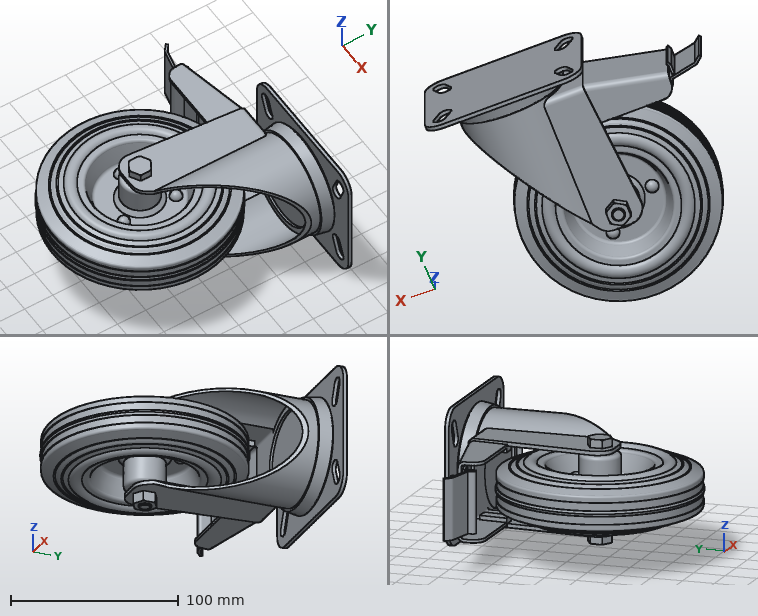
import cadquery as cq
import math


trim_margin = 1.7
swivel_x = 37.5

plate_length = 99.9
plate_width = 85.0
plate_top = 93.5
plate_thickness = 2.5
plate_corner = 11.7
slot_diameter = 8.0
slot_outer = (40.5, 30.7)
slot_inner = (37.0, 22.0)

cup_neck_radius = 35.0
cup_neck_height = 0.7
cup_top_radius = 36.0
cup_bottom_radius = 34.5
cup_bottom = 82.1

fork_radius = 33.0
fork_inner_radius = 31.0
fork_half_width = 26.3
leg_thickness = 2.5
crown_thickness = 4.0
fork_top = 80.3
fork_edge_radius = 4.0
fork_recess_diameter = 54.0
fork_recess_depth = 1.7
leg_bottom = -10.2
leg_front_top_x = -8.2
leg_front_bottom_x = -15.4
leg_back_bottom_x = 11.9
fork_back_x = swivel_x + fork_radius
fork_back_y = 75.7
leg_corner = 10.2

cover_half_width = 24.8
cover_thickness = 2.0
cover_front_x = -58.5
cover_front_top = 69.4
cover_bottom = 54.8
cover_corner_x = -57.3
cover_corner = 7.5
cover_edge_radius = 4.0
tab_inner_z = 20.1
tab_overlap = 1.7
tab_depth = 6.7
tab_top = 72.0

pedal_half_width = 19.1
pedal_thickness = 1.7
pedal_line = [
    (-80.1, 70.2), (-75.7, 66.5), (-58.8, 63.0), (-57.8, 58.6),
    (-53.8, 58.6), (-53.8, 66.2), (-43.5, 68.4),
]
pedal_bends = [(1, 3.4), (3, 1.8), (4, 1.8)]
hook_half_width = 16.1
hook_thickness = 1.7
hook_line = [(-59.5, 64.3), (-59.5, 70.4), (-58.5, 72.4)]

bolt_diameter = 8.0
hex_flats = 13.2
head_height = 5.2
nut_height = 6.5
bolt_tip = 1.0
tip_chamfer = 0.7
hex_chamfer = 0.5

ridge_radius = 62.5
ridge_half_width = 1.7
tread_radius = 62.0
band_radius = 61.5
band_half_width = 6.7
shoulder_z = 9.4
shoulder_mid = (61.7, 10.4)
sidewall_outer = (60.7, 10.9)
sidewall_steps = [(54.5, 13.4), (53.5, 13.2), (52.5, 13.7), (51.5, 14.4), (50.0, 15.0), (49.0, 14.9)]
bead_outer = (45.5, 16.0)
bead_crest = (41.5, 18.3)
bead_inner = (37.5, 16.0)
lip_radius = 34.5
lip_mid = (33.2, 15.4)
rim_wall_top = (32.5, 14.0)
rim_wall_bottom = (28.8, 4.0)
rim_root_mid = (28.3, 2.8)
disc_radius = 27.0
hub_diameter = 25.5
hub_half_length = 22.1
hub_round = 2.3
hub_foot_radius = 15.7
hub_foot_height = 3.0
spacer_diameter = 15.0
disc_half_thickness = 2.0
rivet_diameter = 8.0
rivet_circle_radius = 21.5
rivet_angles = (60, 180, 300)

leg_inner_z = fork_half_width - leg_thickness


def along_z(outline, half_width):
    """Extrude an XY outline symmetrically about the middle plane."""
    return outline.extrude(half_width, both=True)


def swivel_disc(radius, bottom, top):
    """Cylinder on the swivel axis between two heights."""
    return cq.Workplane("XZ", origin=(swivel_x, bottom, 0)).circle(radius).extrude(bottom - top)


def leg_front_x(y):
    """X of the slanting front edge of the fork legs at height y."""
    share = (y - leg_bottom) / (fork_top - leg_bottom)
    return leg_front_bottom_x + share * (leg_front_top_x - leg_front_bottom_x)


def make_plate():
    plate_bottom = plate_top - plate_thickness
    plate = (
        cq.Workplane("XY")
        .box(plate_length, plate_thickness, plate_width)
        .edges("|Y").fillet(plate_corner)
        .translate((swivel_x, plate_top - plate_thickness / 2, 0))
    )
    slot_dx = slot_outer[0] - slot_inner[0]
    slot_dz = slot_outer[1] - slot_inner[1]
    slot_length = math.hypot(slot_dx, slot_dz) + slot_diameter
    slot_angle = math.degrees(math.atan2(slot_dz, slot_dx))
    mid_x = (slot_outer[0] + slot_inner[0]) / 2
    mid_z = (slot_outer[1] + slot_inner[1]) / 2
    for side_x in (-1, 1):
        for side_z in (-1, 1):
            slot = (
                cq.Workplane("XZ", origin=(swivel_x, plate_top, 0))
                .center(side_x * mid_x, side_z * mid_z)
                .slot2D(slot_length, slot_diameter, side_x * side_z * slot_angle)
                .extrude(plate_thickness)
            )
            plate = plate.cut(slot)
    cup_top = plate_bottom - cup_neck_height
    neck = swivel_disc(cup_neck_radius, cup_top, plate_bottom)
    cup = (
        cq.Workplane("XZ", origin=(swivel_x, cup_top, 0)).circle(cup_top_radius)
        .workplane(offset=cup_top - cup_bottom).circle(cup_bottom_radius)
        .loft()
    )
    return plate.union(neck).union(cup)


def fork_form(half_width, radius, leg_top, round_top):
    """Channel between the legs and cylinder round the swivel axis, before trimming."""
    front = leg_front_bottom_x - trim_margin
    channel = (
        cq.Workplane("XY")
        .box(swivel_x - front, leg_top - leg_bottom, 2 * half_width, centered=(False, False, True))
        .translate((front, leg_bottom, 0))
    )
    return channel, swivel_disc(radius, leg_bottom, round_top)


def make_fork():
    channel, drum = fork_form(fork_half_width, fork_radius, fork_top, cup_bottom)
    body = channel.edges("|X and >Y").fillet(fork_edge_radius).union(drum)
    ceiling = fork_top - crown_thickness
    channel, drum = fork_form(leg_inner_z, fork_inner_radius, ceiling, ceiling)
    inner_edge_radius = fork_edge_radius - leg_thickness
    cavity = channel.edges("|X and >Y").fillet(inner_edge_radius)
    recess = swivel_disc(fork_recess_diameter / 2, ceiling, ceiling + fork_recess_depth)
    cavity = cavity.union(drum).union(recess)
    outline = cq.Workplane("XY").polyline([
        (leg_front_x(cup_bottom), cup_bottom),
        (fork_back_x, cup_bottom),
        (fork_back_x, fork_back_y),
        (leg_back_bottom_x, leg_bottom),
        (leg_front_bottom_x, leg_bottom),
    ]).close()
    side_form = along_z(outline, fork_radius + trim_margin).edges("|Z and <Y").fillet(leg_corner)
    axle_hole = along_z(cq.Workplane("XY").circle(bolt_diameter / 2), fork_half_width)
    return body.cut(cavity).intersect(side_form).cut(axle_hole)


def make_cover():
    rear_bottom_x = leg_front_x(cover_bottom)
    outline = cq.Workplane("XY").polyline([
        (leg_front_top_x, fork_top),
        (cover_front_x, cover_front_top),
        (cover_corner_x, cover_bottom),
        (rear_bottom_x, cover_bottom),
    ]).close()
    cover = along_z(outline, cover_half_width)
    cover = cover.edges("|Z").edges("<Y").edges("<X").fillet(cover_corner)
    cover = cover.faces(">Y").edges("<Z or >Z").fillet(cover_edge_radius)

    slope = (fork_top - cover_front_top) / (leg_front_top_x - cover_front_x)
    drop = cover_thickness * math.hypot(1, slope)
    run_out = cover_corner
    hollow_outline = cq.Workplane("XY").polyline([
        (leg_front_top_x + run_out, fork_top - drop + slope * run_out),
        (cover_front_x - run_out, cover_front_top - drop - slope * run_out),
        (cover_front_x - run_out, cover_bottom - run_out),
        (leg_front_top_x + run_out, cover_bottom - run_out),
    ]).close()
    hollow = along_z(hollow_outline, cover_half_width - cover_thickness)
    hollow = hollow.faces(">Y").edges("<Z or >Z").fillet(cover_edge_radius - cover_thickness)
    cover = cover.cut(hollow)

    tab_outline = cq.Workplane("XY").polyline([
        (leg_front_x(tab_top) - tab_overlap, tab_top),
        (rear_bottom_x - tab_overlap, cover_bottom),
        (rear_bottom_x + tab_depth, cover_bottom),
        (leg_front_x(tab_top) + tab_depth, tab_top),
    ]).close()
    tab = tab_outline.extrude(leg_inner_z - tab_inner_z).translate((0, 0, tab_inner_z))
    return cover.union(tab).union(tab.mirror("XY"))


def bent_sheet(lower_line, thickness, half_width):
    """Sheet of even thickness on top of a line of (x, y) points running towards +X."""
    upper_line = []
    last = len(lower_line) - 1
    for i, (x, y) in enumerate(lower_line):
        x0, y0 = lower_line[max(i - 1, 0)]
        x1, y1 = lower_line[min(i + 1, last)]
        angle_in = math.atan2(y - y0, x - x0) if i > 0 else math.atan2(y1 - y, x1 - x)
        angle_out = math.atan2(y1 - y, x1 - x) if i < last else angle_in
        normal = (angle_in + angle_out + math.pi) / 2
        reach = thickness / math.cos((angle_out - angle_in) / 2)
        upper_line.append((x + reach * math.cos(normal), y + reach * math.sin(normal)))
    outline = cq.Workplane("XY").polyline(lower_line + upper_line[::-1]).close()
    return along_z(outline, half_width)


def make_pedal():
    strip = bent_sheet(pedal_line, pedal_thickness, pedal_half_width)
    for point, radius in pedal_bends:
        x, y = pedal_line[point]
        strip = strip.edges(cq.selectors.NearestToPointSelector((x, y, 0))).fillet(radius)
    hook = bent_sheet(hook_line, hook_thickness, hook_half_width)
    return strip.union(hook)


def hex_block(height):
    """Hexagon along +Z with flats facing X and its far corners turned off."""
    block = cq.Workplane("XY").polygon(6, hex_flats / math.cos(math.pi / 6)).extrude(height)
    block = block.rotate((0, 0, 0), (0, 0, 1), 90)
    turned = cq.Workplane("XY").circle(hex_flats / math.sqrt(3)).extrude(height)
    return block.intersect(turned.faces(">Z").chamfer(hex_chamfer))


def make_axle():
    head = hex_block(head_height).translate((0, 0, fork_half_width))
    nut = hex_block(nut_height).mirror("XY").translate((0, 0, -fork_half_width))
    shank_end = -fork_half_width - nut_height - bolt_tip
    shank = (
        cq.Workplane("XY", origin=(0, 0, shank_end))
        .circle(bolt_diameter / 2).extrude(fork_half_width - shank_end)
        .faces("<Z").chamfer(tip_chamfer)
    )
    return shank.union(head).union(nut)


def make_wheel():
    rim_and_tyre = (
        cq.Workplane("XZ")
        .moveTo(0, 0)
        .lineTo(ridge_radius, 0)
        .lineTo(tread_radius, ridge_half_width)
        .lineTo(band_radius, ridge_half_width)
        .lineTo(band_radius, band_half_width)
        .lineTo(tread_radius, band_half_width)
        .lineTo(tread_radius, shoulder_z)
        .threePointArc(shoulder_mid, sidewall_outer)
        .polyline(sidewall_steps, includeCurrent=True)
        .lineTo(*bead_outer)
        .threePointArc(bead_crest, bead_inner)
        .lineTo(lip_radius, bead_inner[1])
        .threePointArc(lip_mid, rim_wall_top)
        .lineTo(*rim_wall_bottom)
        .threePointArc(rim_root_mid, (disc_radius, disc_half_thickness))
        .lineTo(0, disc_half_thickness)
        .close()
        .revolve(360, (0, 0, 0), (0, 1, 0))
    )
    hub = (
        cq.Workplane("XY").circle(hub_diameter / 2).extrude(hub_half_length)
        .faces(">Z").edges().fillet(hub_round)
    )
    foot = (
        cq.Workplane("XY", origin=(0, 0, disc_half_thickness)).circle(hub_foot_radius)
        .workplane(offset=hub_foot_height).circle(hub_diameter / 2)
        .loft()
    )
    spacer = cq.Workplane("XY").circle(spacer_diameter / 2).extrude(leg_inner_z)
    half = rim_and_tyre.union(foot).union(hub).union(spacer)

    for angle in rivet_angles:
        x = rivet_circle_radius * math.cos(math.radians(angle))
        y = rivet_circle_radius * math.sin(math.radians(angle))
        rivet = cq.Workplane("XY").sphere(rivet_diameter / 2)
        half = half.union(rivet.translate((x, y, disc_half_thickness)))
    half = half.intersect(cq.Workplane("XY").circle(ridge_radius + trim_margin).extrude(leg_inner_z))
    bore = along_z(cq.Workplane("XY").circle(bolt_diameter / 2), leg_inner_z)
    return half.union(half.mirror("XY")).cut(bore)


plate = make_plate()
fork = make_fork()
cover = make_cover()
pedal = make_pedal()
axle = make_axle()
wheel = make_wheel()

result = cq.Compound.makeCompound([
    plate.solids().val(),
    fork.solids().val(),
    cover.solids().val(),
    pedal.solids().val(),
    axle.solids().val(),
    wheel.solids().val(),
])